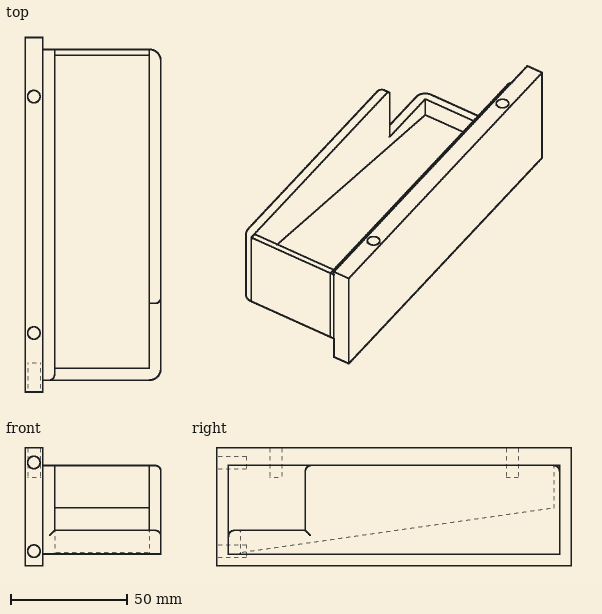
import cadquery as cq

plate_thickness = 7.62
plate_length = 152.4
plate_height = 50.8
hole_diameter = 5.33
hole_depth = 12.7
end_hole_inset = 6.35
top_hole_inset = 25.4

tray_depth = 50.8
tray_height = 38.1
tray_end_inset = 5.08
tray_bottom_inset = 5.08
wall = 5.08
corner_radius = 5.08
rim_radius = 2.54
lip_height = 10.16
low_side_length = 33.02

back_wall = 2.54
ramp_rise = 20.32

tray_x0 = plate_thickness
tray_x1 = tray_x0 + tray_depth
tray_y0 = tray_end_inset
tray_y1 = plate_length - tray_end_inset
tray_z0 = tray_bottom_inset
tray_z1 = tray_z0 + tray_height
lip_z = tray_z0 + lip_height
low_side_y = tray_y0 + low_side_length
channel_x0 = tray_x0 + wall
channel_x1 = tray_x1 - wall
channel_y0 = tray_y0 + wall


def box(x0, x1, y0, y1, z0, z1):
    """Box between two opposite corners."""
    block = cq.Workplane("XY").box(x1 - x0, y1 - y0, z1 - z0, centered=False)
    return block.translate((x0, y0, z0))


def hole_cutter(y, z, direction):
    """Blind hole in the middle of the plate thickness, entering along direction."""
    start = cq.Vector(plate_thickness / 2, y, z)
    return cq.Workplane(cq.Solid.makeCylinder(hole_diameter / 2, hole_depth, start, cq.Vector(*direction)))


def make_plate():
    """Rectangular plate with two blind holes in its -Y end and two in its top edge."""
    plate = box(0, plate_thickness, 0, plate_length, 0, plate_height)
    for z in (end_hole_inset, plate_height - end_hole_inset):
        plate = plate.cut(hole_cutter(0, z, (0, 1, 0)))
    for y in (top_hole_inset, plate_length - top_hole_inset):
        plate = plate.cut(hole_cutter(y, plate_height, (0, 0, -1)))
    return plate


def edges_near(solid, points):
    """The edges whose middles lie closest to the given points."""
    selector = cq.selectors.NearestToPointSelector(points[0])
    for point in points[1:]:
        selector = selector + cq.selectors.NearestToPointSelector(point)
    return solid.edges(selector)


def make_tray_walls():
    """Inner wall, front lip and outer wall around a channel that is open at the back and below."""
    walls = box(tray_x0, tray_x1, tray_y0, tray_y1, tray_z0, tray_z1)
    walls = walls.edges("|Z and >X").fillet(corner_radius)

    walls = walls.cut(box(channel_x0, tray_x1, tray_y0, low_side_y, lip_z, tray_z1))
    walls = walls.cut(box(channel_x0, channel_x1, channel_y0, tray_y1, tray_z0, tray_z1))

    outer_wall_x = (channel_x1 + tray_x1) / 2
    walls = edges_near(walls, [(outer_wall_x, low_side_y, tray_z1)]).fillet(rim_radius)

    rim = [
        (channel_x0, tray_y0, (lip_z + tray_z1) / 2),
        ((channel_x0 + channel_x1) / 2, tray_y0, lip_z),
        (tray_x1, (tray_y0 + corner_radius + low_side_y) / 2, lip_z),
        (tray_x1, low_side_y, (lip_z + tray_z1 - rim_radius) / 2),
        (tray_x1, (low_side_y + rim_radius + tray_y1 - corner_radius) / 2, tray_z1),
    ]
    return edges_near(walls, rim).fillet(rim_radius)


def make_frame():
    """Plate and tray walls in one piece."""
    return make_plate().union(make_tray_walls())


def make_ramp():
    """Wedge floor filling the channel, with the back wall standing on its high end."""
    slope = ramp_rise / (tray_y1 - tray_y0)
    wall_y = tray_y1 - back_wall
    profile = [
        (channel_y0, tray_z0),
        (tray_y1, tray_z0),
        (tray_y1, tray_z1),
        (wall_y, tray_z1),
        (wall_y, tray_z0 + slope * (wall_y - tray_y0)),
        (channel_y0, tray_z0 + slope * (channel_y0 - tray_y0)),
    ]
    ramp = cq.Workplane("YZ").polyline(profile).close().extrude(channel_x1 - channel_x0)
    return ramp.translate((channel_x0, 0, 0))


frame = make_frame()
ramp = make_ramp()
result = cq.Compound.makeCompound([frame.solids().val(), ramp.val()])